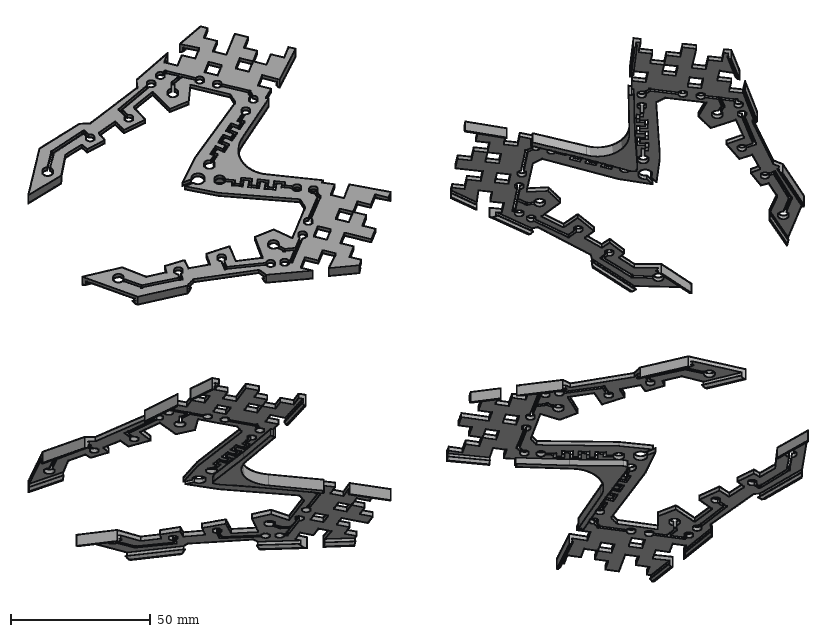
import cadquery as cq
import math


total_height = 4.6
plate_thickness = 1.9
plate_bottom = total_height - plate_thickness

flange_thickness = 1.0
bead_projection = 0.4
bead_height = 1.1
bead_ramp = 0.2
foot_thickness = 0.5
flange_overrun = 3.7

trace_width = 1.0
small_pad = 3.2
large_pad = 4.0
meander_pitch = 3.0
meander_steps = 6
meander_half_swing = 1.5

centre_hole_diameter = 5.0
centre_hole_y = -0.5
centre_slot_width = 1.7
slot_tip_y = -6.3
valley_y = 17.2
valley_end = (-9.5, 22.5)

chequer_origin = (-39.1, 41.9)
chequer_height = 42.8
chequer_rows = 12
cell = chequer_height / chequer_rows
touching_web = 0.06
diamond_half = cell - touching_web


def chequer(column, row):
    """Position of a chequer grid node."""
    return (chequer_origin[0] + column * cell, chequer_origin[1] + row * cell)


crest_edge = ((-27.2, 46.5), (-37.2, 58.2))
crown_edge = ((-62.0, 32.6), (-58.2, 22.2))
shoulder_edge = ((-56.5, 16.6), (-50.6, 0.9))
claw_outer_edge = ((-42.0, -26.5), (-38.5, -44.6))
claw_inner_edge = ((-21.1, -58.2), (-23.8, -43.4))
flanged_edges = [crest_edge, crown_edge, shoulder_edge, claw_outer_edge, claw_inner_edge]

leg_top = (-21.2, 39.1)
leg_step = (-22.0, 38.2)
chequer_top_nodes = [(0, 4), (1, 3), (0, 2), (1, 1), (0, 0), (-1, 1), (-2, 0), (-3, 1),
                     (-4, 0), (-2, -2), (-3, -3), (-4, -2), (-5, -3), (-5.9, -2.1)]
chequer_side_nodes = [(-4, -4), (-3, -5), (-4, -6), (-3, -7), (-4, -8)]
arm_outer_side = [(-47.4, -0.4), (-40.4, -23.1)]
arm_inner_side = [(-31.6, -37.7), (-33.1, -30.3), (-30.3, -29.5), (-31.1, -22.0),
                  (-35.1, -22.5), (-37.1, -14.8), (-32.1, -13.8), (-32.9, -4.7),
                  (-39.9, -5.8), (-43.0, 3.5), (-33.2, 5.3), (-33.2, 12.9), (-39.8, 17.0)]
leg_inner_side = [(-29.3, 27.7), (-25.2, 27.7), (-9.2, 3.1)]

left_outline = [
    leg_top, leg_step, chequer(4, 0), chequer(3, -1), chequer(2, 0),
    *crest_edge, *[chequer(*node) for node in chequer_top_nodes],
    *crown_edge, *[chequer(*node) for node in chequer_side_nodes],
    *shoulder_edge, *arm_outer_side,
    *claw_outer_edge, *claw_inner_edge,
    *arm_inner_side, *leg_inner_side, (-centre_slot_width / 2, slot_tip_y),
]


def left_body(height):
    """Left half of the outline extruded up from Z = 0."""
    valley_rise = valley_end[1] - valley_y
    valley_radius = (valley_end[0] ** 2 + valley_rise ** 2) / (2 * valley_rise)
    half_angle = math.asin(-valley_end[0] / valley_radius) / 2
    arc_middle = (-valley_radius * math.sin(half_angle),
                  valley_y + valley_radius * (1 - math.cos(half_angle)))
    outline = cq.Workplane("XY").moveTo(0, valley_y).threePointArc(arc_middle, valley_end)
    for point in left_outline:
        outline = outline.lineTo(*point)
    return outline.lineTo(0, slot_tip_y).close().extrude(height)


def snap_flange(start, end):
    """Wall under one edge, with a snap bead and a tapered foot on its inner face."""
    run = cq.Vector(end[0] - start[0], end[1] - start[1], 0)
    along = run.normalized()
    inward = cq.Vector(-along.y, along.x, 0)
    origin = cq.Vector(start[0], start[1], 0) - along * flange_overrun
    profile = [(0, 0), (foot_thickness, 0),
               (flange_thickness + bead_projection, bead_height),
               (flange_thickness, bead_height + bead_ramp),
               (flange_thickness, total_height), (0, total_height)]
    section = cq.Workplane(cq.Plane(origin=origin, xDir=inward, normal=along))
    return section.polyline(profile).close().extrude(run.Length + 2 * flange_overrun)


def valley_pad():
    """Region of full depth along the V's upper edge, clear of the meander trace."""
    inner_side = [(-22.8, 38.0), (-11.8, 22.2), (-1.4, 6.1), (0, 5.0)]
    beyond_edge = [(0, 39.7), (-21.6, 39.7)]
    return cq.Workplane("XY").polyline(inner_side + beyond_edge).close().extrude(total_height)


def trace(points):
    """Cutter for a trace of constant width along a path."""
    cutter = cq.Workplane("XY")
    for (x0, y0), (x1, y1) in zip(points, points[1:]):
        length = math.hypot(x1 - x0, y1 - y0)
        angle = math.degrees(math.atan2(y1 - y0, x1 - x0))
        segment = cq.Workplane("XY").box(length + trace_width, trace_width, total_height,
                                         centered=(True, True, False))
        segment = segment.rotate((0, 0, 0), (0, 0, 1), angle)
        cutter = cutter.add(segment.translate(((x0 + x1) / 2, (y0 + y1) / 2, 0)))
    return cutter.combine()


def meander(start, end):
    """Square-wave path centred between two pads."""
    length = math.hypot(end[0] - start[0], end[1] - start[1])
    along = ((end[0] - start[0]) / length, (end[1] - start[1]) / length)
    across = (-along[1], along[0])
    first_station = (length - meander_steps * meander_pitch) / 2
    wave = [(first_station, 0)]
    for step in range(meander_steps):
        station = first_station + step * meander_pitch
        swing = meander_half_swing if step % 2 == 0 else -meander_half_swing
        wave += [(station, swing), (station + meander_pitch, swing)]
    wave.append((first_station + meander_steps * meander_pitch, 0))
    path = [(start[0] + s * along[0] + t * across[0], start[1] + s * along[1] + t * across[1])
            for s, t in wave]
    return [start, *path, end]


def holes(points, diameter):
    return cq.Workplane("XY").pushPoints(points).circle(diameter / 2).extrude(total_height)


crest_pads = [(-23.5, 34.0), (-35.6, 25.7)]
shoulder_pads = [(-40.2, 21.0), (-48.5, 9.4)]
arm_pads = [(-46.6, 4.7), (-36.2, -9.7)]
wrist_pad = (-34.5, -26.2)
meander_pad = (-20.0, 29.1)
branch_pad = (-39.3, 9.7)
claw_pad = (-27.7, -46.9)
valley_pad_hole = (-4.0, 6.2)
small_pads = [*crest_pads, *shoulder_pads, *arm_pads, wrist_pad, meander_pad]
large_pads = [branch_pad, claw_pad, valley_pad_hole]
trace_paths = [
    [crest_pads[0], (-27.3, 34.2), crest_pads[1]],
    [shoulder_pads[0], (-49.1, 11.8), shoulder_pads[1]],
    [(-44.8, 15.6), (-43.4, 11.9), branch_pad],
    [arm_pads[0], (-41.2, -10.5), arm_pads[1]],
    [wrist_pad, (-38.1, -26.9), (-34.8, -41.2), claw_pad],
    meander(meander_pad, valley_pad_hole),
]
diamonds = [chequer(0, -1), chequer(-1, -4)]

full_depth = left_body(total_height)
half = left_body(plate_thickness).translate((0, 0, plate_bottom))
for edge in flanged_edges:
    half = half.union(snap_flange(*edge).intersect(full_depth))
half = half.union(valley_pad().intersect(full_depth))

half = half.cut(holes(small_pads, small_pad)).cut(holes(large_pads, large_pad))
for path in trace_paths:
    half = half.cut(trace(path))
diamond_openings = cq.Workplane("XY").pushPoints(diamonds).polygon(4, 2 * diamond_half)
half = half.cut(diamond_openings.extrude(total_height))

result = half.union(half.mirror("YZ"))
result = result.cut(holes([(0, centre_hole_y)], centre_hole_diameter))
slot_length = centre_hole_y - slot_tip_y
slot = cq.Workplane("XY").box(centre_slot_width, slot_length, total_height,
                              centered=(True, False, False))
result = result.cut(slot.translate((0, slot_tip_y, 0)))